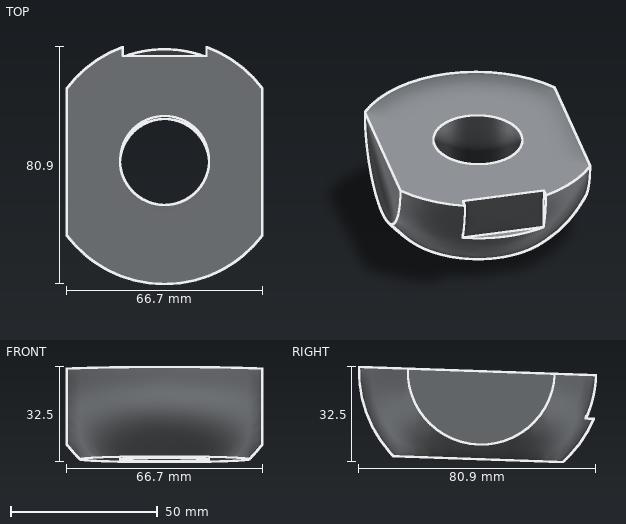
import cadquery as cq

sphere_radius = 41.7
body_depth = 30.05
flat_width = 66.65
tilt_angle = 2.0
bore_diameter = 30.3
bore_offset = 0.5
notch_width = 28.4
notch_wall = 36.1
notch_depth = 14.9

clearance = 3 * sphere_radius


def truncated_ball():
    """Lower part of a ball centred on the upper face, with two parallel side flats."""
    slab = cq.Workplane("XY").box(flat_width, clearance, body_depth, centered=(True, True, False))
    slab = slab.translate((0, 0, -body_depth))
    ball = cq.Workplane("XY").sphere(sphere_radius).rotate((0, 0, 0), (1, 0, 0), 90)
    return ball.intersect(slab)


def bore():
    """Through bore, square to the upper face."""
    return (
        cq.Workplane("XY")
        .center(0, bore_offset)
        .circle(bore_diameter / 2)
        .extrude(clearance, both=True)
    )


def notch():
    """Rectangular notch in the +Y rim, open to the upper face."""
    block = cq.Workplane("XY").box(notch_width, clearance, clearance, centered=(True, False, False))
    return block.translate((0, notch_wall, -notch_depth))


upright = truncated_ball().cut(bore()).cut(notch())

result = upright.rotate((0, 0, 0), (1, 0, 0), -tilt_angle)